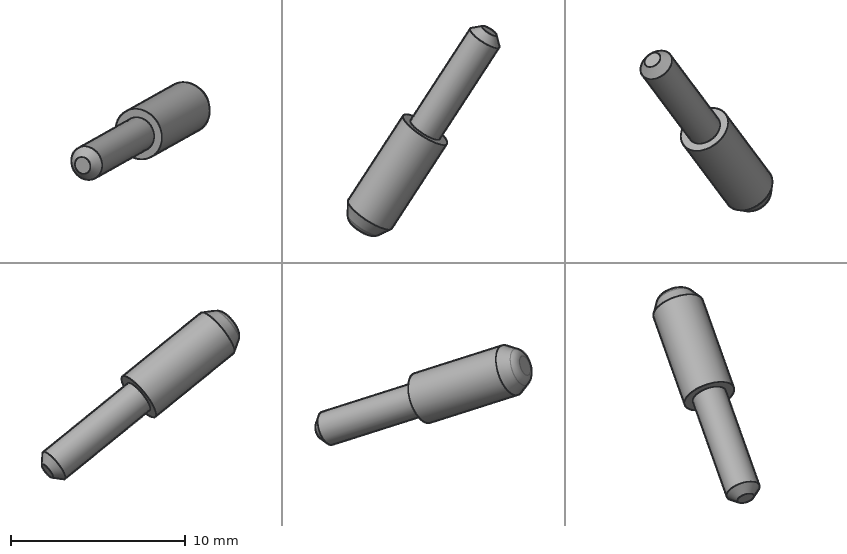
import cadquery as cq
import math

body_diameter = 3.0
body_length = 7.0
stem_diameter = 2.0
stem_length = 7.0

stem_chamfer = 0.5

taper_length = 1.0
taper_half_angle = math.radians(30)
nose_radius = 0.6

body_radius = body_diameter / 2
stem_radius = stem_diameter / 2

corner_radius = body_radius - taper_length * math.tan(taper_half_angle)

turn_angle = math.pi / 2 - taper_half_angle
tangent_length = nose_radius * math.tan(turn_angle / 2)
flat_radius = corner_radius - tangent_length


def nose_point(angle):
    """Point on the nose arc, with angle measured from the pin axis."""
    centre_y = body_length - nose_radius
    return (
        flat_radius + nose_radius * math.sin(angle),
        centre_y + nose_radius * math.cos(angle),
    )


def pin_profile():
    """Half section of the pin in the XY plane, closed along the axis."""
    return (
        cq.Workplane("XY")
        .moveTo(0, -stem_length)
        .lineTo(stem_radius - stem_chamfer, -stem_length)
        .lineTo(stem_radius, -stem_length + stem_chamfer)
        .lineTo(stem_radius, 0)
        .lineTo(body_radius, 0)
        .lineTo(body_radius, body_length - taper_length)
        .lineTo(*nose_point(turn_angle))
        .threePointArc(nose_point(turn_angle / 2), nose_point(0))
        .lineTo(0, body_length)
        .close()
    )


result = pin_profile().revolve(360, (0, 0, 0), (0, 1, 0))